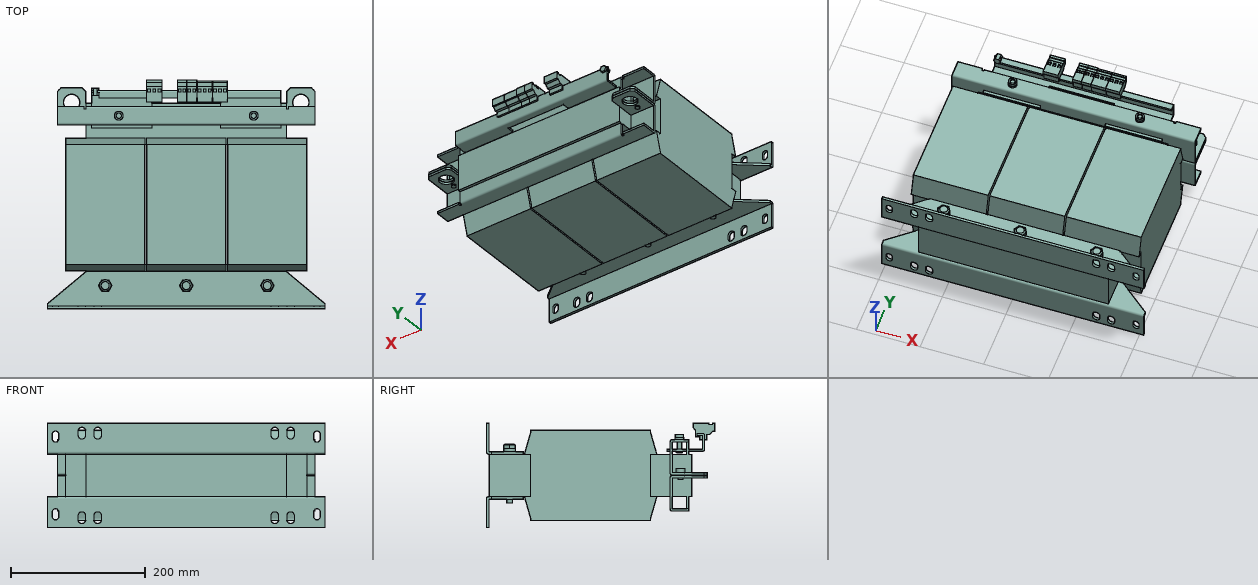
import cadquery as cq
import math


core_half_width = 149.0
core_half_height = 31.5
core_front = 4.0
core_back = 305.3
leg_width = 59.5

coil_pitch = 120.5
coil_width = 118.0
coil_front = 66.0
coil_back = 244.0
coil_half_height = 67.0
coil_top_band = 3.0
coil_overhang = 9.5
coil_positions = (-coil_pitch, 0, coil_pitch)

foot_length = 412.0
foot_top = 77.5
foot_sheet = 4.0
foot_depth = 55.2
foot_taper_start = 8.0
foot_bend_radius = 3.7
end_slot_x, end_slot_z = 194.0, 57.5
end_slot_width, end_slot_height = 9.5, 16.0
inner_slot_xs, inner_slot_z = (131.5, 155.0), 62.5
inner_slot_width, inner_slot_height = 11.0, 17.5

core_bolt_y = 34.5
core_bolt_shank = 9.0
core_bolt_end = 41.0
core_washer_diameter, core_washer_height = 17.7, 4.5
core_bolt_flats = 17.5
core_bolt_corners = 2 * core_bolt_flats / math.sqrt(3)
core_bolt_hex_height = 5.0
core_bolt_crown_base, core_bolt_crown_top = 17.0, 12.0
core_bolt_crown_height = 2.0

rail_half_length = 191.0
rail_sheet = 3.7
rail_front = 272.7
rail_back = 300.8
rail_top = 53.0
rail_split = 0.5
rail_bend_radius = 3.5
lip_slit_width = 3.0

tongue_back = 328.5
tongue_corner = 5.5
tongue_center_x = (rail_half_length + core_half_width) / 2
lifting_hole_y, lifting_hole_diameter = 306.5, 24.0
tongue_bolt_y = 288.5
tongue_bolt_diameter, tongue_bolt_height = 12.8, 6.0
tongue_bolt_shank, tongue_bolt_reach = 7.5, 2.0

bracket_half_length = 140.5
bracket_sheet = 3.5
bracket_bottom = 36.0
bracket_top = 62.2
bracket_wall_back = 324.2
bracket_flange_front = 312.7
bracket_foot_front = 268.2
bracket_foot_inner_x = 51.0
bracket_bend_radius = 3.0
flange_start_x = -129.5

bracket_bolt_x, bracket_bolt_y = 100.0, 286.8
bracket_bolt_shank = 7.0
bracket_bolt_end = 33.0
bracket_bolt_washer, bracket_bolt_washer_height = 13.0, 3.5
bracket_bolt_head, bracket_bolt_head_height = 12.8, 4.5
bracket_bolt_socket, bracket_bolt_socket_depth = 8.0, 2.5
bracket_nut_diameter, bracket_nut_height = 9.5, 1.5

earth_screw_x, earth_screw_z = -135.0, 57.5
earth_screw_corners = 11.0
earth_screw_front, earth_screw_back = 317.0, 327.5

terminal_blocks = (
    (-59.5, -36.0, 340.0, 3),
    (-13.0, 0.5, 340.0, 2),
    (1.0, 15.5, 340.0, 2),
    (16.0, 38.7, 338.5, 3),
    (39.0, 61.0, 338.5, 3),
)
terminal_top = foot_top
groove_front, groove_back, groove_floor = 330.5, 335.8, 76.0
terminal_front, nose_bottom = 307.0, 71.0
body_front, nose_chamfer_bottom, body_bottom = 310.2, 67.0, 57.3
clip_front, clip_back, clip_bottom = 317.0, 327.0, 52.7
shoulder_back, shoulder_bottom = 331.5, 60.5
rear_slope_back, rear_bottom = 336.0, 65.5
pocket_front, pocket_back = 322.0, 326.7
pocket_width, pocket_depth = 4.0, 2.0


def block(x0, x1, y0, y1, z0, z1):
    """Box between two opposite corners."""
    return cq.Workplane("XY").box(x1 - x0, y1 - y0, z1 - z0, centered=False).translate((x0, y0, z0))


def side_profile(points, x0, x1):
    """Outline of (Y, Z) points swept along X from x0 to x1."""
    return cq.Workplane("YZ").polyline(points).close().extrude(x1 - x0).translate((x0, 0, 0))


def disc(x, y, z0, z1, diameter):
    """Upright cylinder."""
    return cq.Workplane("XY", origin=(x, y, z0)).circle(diameter / 2).extrude(z1 - z0)


def mirrored_pair(solid, plane):
    """A solid together with its mirror image."""
    return solid.union(solid.mirror(plane))


def make_core():
    """Three-legged core with two open windows."""
    core = block(
        -core_half_width, core_half_width, core_front, core_back,
        -core_half_height, core_half_height,
    )
    window_width = (2 * core_half_width - 3 * leg_width) / 2
    window_center = (leg_width + window_width) / 2
    window = block(
        window_center - window_width / 2, window_center + window_width / 2,
        coil_front, coil_back, -core_half_height, core_half_height,
    )
    return core.cut(mirrored_pair(window, "YZ"))


def make_coil(x):
    """Winding whose upper and lower parts flare out over the yokes."""
    front_tip = coil_front - coil_overhang
    back_tip = coil_back + coil_overhang
    flare_top = coil_half_height - coil_top_band
    upper_outline = [
        (coil_front, 0),
        (coil_front, core_half_height),
        (front_tip, core_half_height),
        (coil_front, flare_top),
        (coil_front, coil_half_height),
        (coil_back, coil_half_height),
        (coil_back, flare_top),
        (back_tip, core_half_height),
        (coil_back, core_half_height),
        (coil_back, 0),
    ]
    upper_half = side_profile(upper_outline, x - coil_width / 2, x + coil_width / 2)
    return mirrored_pair(upper_half, "XY")


def foot_slots(centers, width, height):
    """Upright slots through the vertical sheet of the upper foot."""
    return (
        cq.Workplane("XZ").pushPoints(centers)
        .slot2D(height, width, 90).extrude(-foot_sheet)
    )


def make_upper_foot():
    """Angle foot: slotted upright wall and a tapered leg lying on the core."""
    half = foot_length / 2
    wall = block(-half, half, 0, foot_sheet, core_half_height, foot_top)
    leg_outline = [
        (-half, 0),
        (half, 0),
        (half, foot_taper_start),
        (core_half_width, foot_depth),
        (-core_half_width, foot_depth),
        (-half, foot_taper_start),
    ]
    leg = (
        cq.Workplane("XY", origin=(0, 0, core_half_height))
        .polyline(leg_outline).close().extrude(foot_sheet)
    )
    foot = wall.union(leg).edges("|X and <Y and <Z").fillet(foot_bend_radius)
    end_centers = [(side * end_slot_x, end_slot_z) for side in (-1, 1)]
    inner_centers = [(side * x, inner_slot_z) for side in (-1, 1) for x in inner_slot_xs]
    foot = foot.cut(foot_slots(end_centers, end_slot_width, end_slot_height))
    return foot.cut(foot_slots(inner_centers, inner_slot_width, inner_slot_height))


def make_core_bolt(x):
    """Through bolt with washer, hexagon and conical crown on the upper foot."""
    washer_bottom = core_half_height + foot_sheet
    hex_bottom = washer_bottom + core_washer_height
    crown_bottom = hex_bottom + core_bolt_hex_height
    shank = disc(x, core_bolt_y, -core_bolt_end, hex_bottom, core_bolt_shank)
    washer = disc(x, core_bolt_y, washer_bottom, hex_bottom, core_washer_diameter)
    head = (
        cq.Workplane("XY", origin=(x, core_bolt_y, hex_bottom))
        .polygon(6, core_bolt_corners).extrude(core_bolt_hex_height)
    )
    crown = (
        cq.Workplane("XY", origin=(x, core_bolt_y, crown_bottom))
        .circle(core_bolt_crown_base / 2)
        .workplane(offset=core_bolt_crown_height).circle(core_bolt_crown_top / 2).loft()
    )
    return shank.union(washer).union(head).union(crown)


def make_tongue():
    """Right-hand lifting tongue of the upper rail."""
    tongue = block(
        core_half_width, rail_half_length, rail_front, tongue_back,
        rail_split, rail_split + rail_sheet,
    )
    tongue = tongue.edges("|Z and >Y").chamfer(tongue_corner)
    hole = disc(tongue_center_x, lifting_hole_y, 0, rail_top, lifting_hole_diameter)
    return tongue.cut(hole)


def make_upper_rail():
    """Folded rail: upright web, top flange with a folded-down lip, and two lifting tongues."""
    half = rail_half_length
    web = block(-half, half, rail_front, rail_front + rail_sheet, rail_split, rail_top)
    flange = block(-half, half, rail_front, rail_back, rail_top - rail_sheet, rail_top)
    rail = web.union(flange).union(mirrored_pair(make_tongue(), "YZ"))
    rail = rail.edges("|X and <Y").fillet(rail_bend_radius)
    slit = block(
        core_half_width, core_half_width + lip_slit_width, rail_back - rail_sheet, rail_back,
        rail_top - rail_sheet, rail_top,
    )
    lip = block(
        -core_half_width, core_half_width, rail_back - rail_sheet, rail_back,
        core_half_height, rail_top,
    )
    lip = lip.edges("|X and >Y and >Z").fillet(rail_bend_radius)
    rail_ends = rail.cut(
        block(
            -core_half_width, core_half_width, rail_back - rail_sheet, rail_back,
            rail_top - rail_sheet, rail_top,
        )
    )
    return rail_ends.cut(mirrored_pair(slit, "YZ")).union(lip)


def make_tongue_bolt():
    """Bolt clamping the two right-hand tongues together."""
    tongue_top = rail_split + rail_sheet
    head = disc(
        tongue_center_x, tongue_bolt_y, tongue_top, tongue_top + tongue_bolt_height,
        tongue_bolt_diameter,
    )
    shank = disc(
        tongue_center_x, tongue_bolt_y, -tongue_top - tongue_bolt_reach, tongue_top,
        tongue_bolt_shank,
    )
    return head.union(shank)


def make_bracket():
    """Terminal carrier: upright wall, forward top flange, and a base strip with two flat feet."""
    half = bracket_half_length
    wall = block(
        -half, half, bracket_wall_back - bracket_sheet, bracket_wall_back,
        bracket_bottom, bracket_top,
    )
    base_strip = block(
        -half, half, bracket_flange_front, bracket_wall_back,
        bracket_bottom, bracket_bottom + bracket_sheet,
    )
    foot = block(
        bracket_foot_inner_x, half, bracket_foot_front, bracket_wall_back,
        bracket_bottom, bracket_bottom + bracket_sheet,
    )
    flange = block(
        -half, half, bracket_flange_front, bracket_wall_back,
        bracket_top - bracket_sheet, bracket_top,
    )
    bracket = wall.union(base_strip).union(mirrored_pair(foot, "YZ")).union(flange)
    bracket = bracket.edges("|X and >Y").fillet(bracket_bend_radius)
    flange_relief = block(
        -half, flange_start_x, bracket_flange_front, bracket_wall_back - bracket_sheet,
        bracket_top - bracket_sheet, bracket_top,
    )
    return bracket.cut(flange_relief)


def make_bracket_bolt():
    """Right-hand socket-head bolt holding the bracket foot under the rail flange."""
    x, y = bracket_bolt_x, bracket_bolt_y
    head_bottom = rail_top + bracket_bolt_washer_height
    head_top = head_bottom + bracket_bolt_head_height
    nut_bottom = bracket_bottom - bracket_nut_height
    bolt = disc(x, y, bracket_bolt_end, head_bottom, bracket_bolt_shank)
    bolt = bolt.union(disc(x, y, rail_top, head_bottom, bracket_bolt_washer))
    bolt = bolt.union(disc(x, y, head_bottom, head_top, bracket_bolt_head))
    bolt = bolt.union(disc(x, y, nut_bottom, bracket_bottom, bracket_nut_diameter))
    return bolt.cut(disc(x, y, head_top - bracket_bolt_socket_depth, head_top, bracket_bolt_socket))


def make_earth_screw():
    """Hexagonal screw through the left end of the bracket wall."""
    return (
        cq.Workplane("XZ", origin=(earth_screw_x, earth_screw_front, earth_screw_z))
        .polygon(6, earth_screw_corners).extrude(earth_screw_front - earth_screw_back)
    )


def make_terminal(x0, x1, rear, pocket_count):
    """Terminal block clipped over the bracket flange, with wire pockets in its top."""
    outline = [
        (rear, terminal_top),
        (groove_back, terminal_top),
        (groove_back, groove_floor),
        (groove_front, groove_floor),
        (groove_front, terminal_top),
        (terminal_front, terminal_top),
        (terminal_front, nose_bottom),
        (body_front, nose_chamfer_bottom),
        (body_front, body_bottom),
        (clip_front, body_bottom),
        (clip_front, clip_bottom),
        (clip_back, clip_bottom),
        (clip_back, shoulder_bottom),
        (shoulder_back, shoulder_bottom),
        (rear_slope_back, rear_bottom),
        (rear, rear_bottom),
    ]
    terminal = side_profile(outline, x0, x1)
    pitch = (x1 - x0) / pocket_count
    for index in range(pocket_count):
        center = x0 + (index + 0.5) * pitch
        pocket = block(
            center - pocket_width / 2, center + pocket_width / 2, pocket_front, pocket_back,
            terminal_top - pocket_depth, terminal_top,
        )
        terminal = terminal.cut(pocket)
    return terminal


result = make_core()
for coil_x in coil_positions:
    result = result.union(make_coil(coil_x))
result = result.union(mirrored_pair(make_upper_foot(), "XY"))
for bolt_x in coil_positions:
    result = result.union(make_core_bolt(bolt_x))
result = result.union(mirrored_pair(make_upper_rail(), "XY"))
result = result.union(mirrored_pair(make_tongue_bolt(), "YZ"))
result = result.union(make_bracket())
result = result.union(mirrored_pair(make_bracket_bolt(), "YZ"))
result = result.union(make_earth_screw())
for left, right, rear_end, pockets in terminal_blocks:
    result = result.union(make_terminal(left, right, rear_end, pockets))